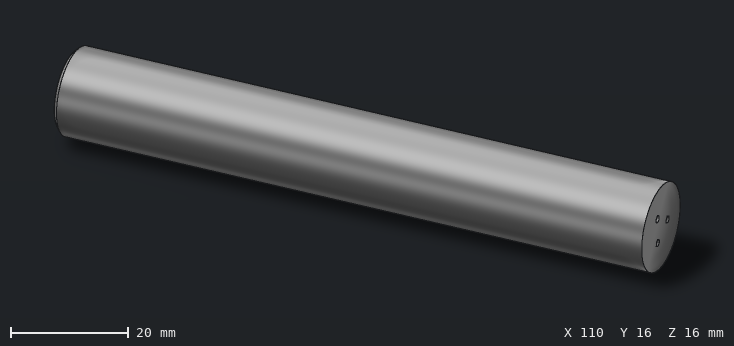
import cadquery as cq
import math

rod_length = 110.0
rod_diameter = 16.0
chamfer_size = 0.8

hole_count = 3
hole_diameter = 1.25
hole_circle_radius = 2.75
first_hole_angle = 180.0
hole_spacing_angle = 360.0 / hole_count
helix_angle = 40.0
helix_pitch = math.pi * rod_diameter / math.tan(math.radians(helix_angle))
twist_angle = 360.0 * rod_length / helix_pitch


def make_rod():
    rod = cq.Workplane("YZ").circle(rod_diameter / 2).extrude(rod_length)
    return rod.faces("<X").chamfer(chamfer_size)


def make_coolant_hole(start_angle):
    angle = math.radians(start_angle)
    center_y = hole_circle_radius * math.cos(angle)
    center_z = hole_circle_radius * math.sin(angle)
    return (
        cq.Workplane("YZ")
        .pushPoints([(center_y, center_z)])
        .circle(hole_diameter / 2)
        .twistExtrude(rod_length, twist_angle)
    )


result = make_rod()
for index in range(hole_count):
    result = result.cut(make_coolant_hole(first_hole_angle + index * hole_spacing_angle))